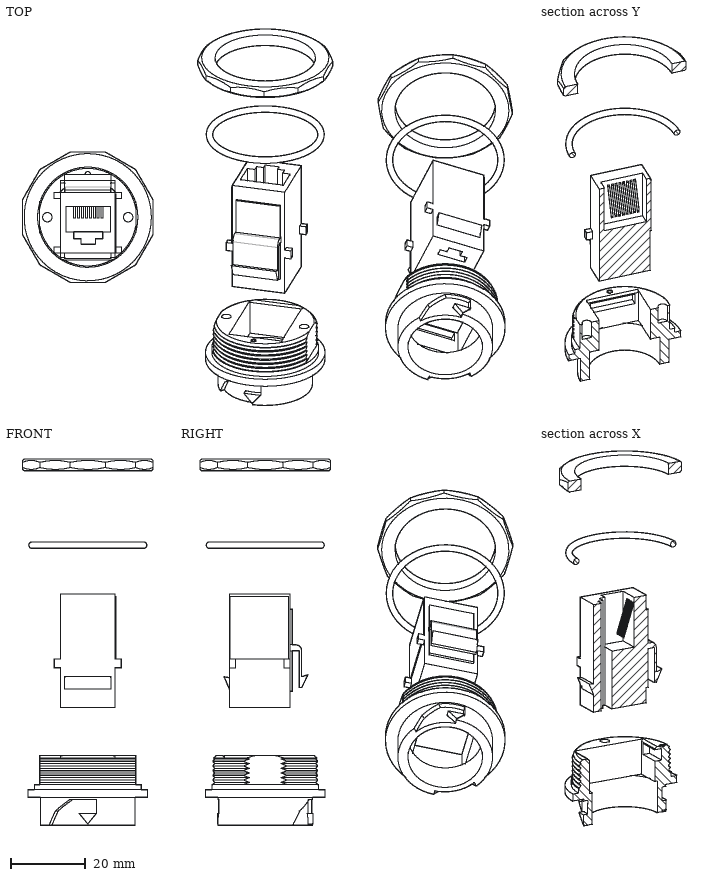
import cadquery as cq
import math


total_height = 97.94
nut_sides = 12
nut_across_flats = 34.92
nut_thickness = 3.2
nut_bore_radius = 13.4
nut_face_radius = 17.0
nut_chamfer_angle = 40

ring_outer_radius = 15.8
ring_section_radius = 0.89
ring_center_z = 74.9

barrel_radius = 12.65
flange_radius = 16.0
flange_bottom = 7.5
flange_top = 9.6
collar_radius = 14.3
collar_top = 10.9
housing_top = 18.75

thread_radius = 14.05
thread_pitch = 1.25
thread_depth = 0.5
thread_crest = 0.1
thread_end_chamfer = 1.0
thread_flat_distance = 12.86

cavity_half_width = 7.3
cavity_back = 9.2
cavity_front = -10.8
cavity_floor = 8.9
cavity_lead_in = 0.6
throat_radius = 9.95

latch_pocket_half_width = 6.3
latch_pocket_back = 11.2
latch_pocket_floor = 14.7
latch_pocket_top = 17.8

screw_hole_x = 10.8
screw_hole_radius = 1.25
screw_hole_depth = 5.0
marker_y = 11.5
marker_radius = 0.7
marker_depth = 0.3

track_floor_radius = 11.45
track_top = 6.95
track_knee_z = 3.9
track_top_angle = 22
track_knee_angle = 43
track_entry_angle = 55
stop_half_width = 2.3
stop_top = 3.2
stop_tip = 0.4
stop_radius = 12.8
stop_embed = 0.5

jack_half_width = 7.3
jack_back = 6.65
jack_front = -9.6
jack_bottom = 31.5
jack_top = 61.9

lug_reach = 9.0
lug_depth = 1.6
lug_bottom = 42.1
lug_top = 44.5

rear_plate_half_width = 6.1
rear_plate_thickness = 0.6
rear_plate_bottom = 35.8
rear_plate_top = 57.8

side_plate_thickness = 0.28
side_plate_bottom = lug_top
side_plate_top = 61.2
side_plate_back = 6.2
side_plate_front = -9.4

latch_half_width = 6.2
latch_top = 48.3
latch_bend_radius = 1.65
latch_outer = 9.75
latch_thickness = 0.7
latch_tip_z = 36.8
latch_barb_y = 11.45
latch_barb_z = 40.3
latch_barb_root_z = 39.8

ledge_half_width = 6.15
ledge_bottom = 36.4
ledge_root_z = 39.5
ledge_tip_z = 39.8
ledge_reach = 1.45

socket_center_x = 0.15
socket_half_width = 5.95
socket_back = 2.8
socket_front = -3.95
socket_depth = 14.0
key_half_width = 3.85
key_front = -5.7
clip_half_width = 1.9
clip_front = -7.2

contact_count = 8
contact_pitch = 1.06
contact_width = 0.53
contact_thickness = 0.5
contact_drop = 9.0
contact_reach = 3.0
contact_recess = 1.5
contact_top = jack_top - contact_recess


def box(x_min, x_max, y_min, y_max, z_min, z_max):
    """Axis-aligned block between the given limits."""
    return (
        cq.Workplane("XY")
        .box(x_max - x_min, y_max - y_min, z_max - z_min, centered=False)
        .translate((x_min, y_min, z_min))
    )


def cylinder(radius, z_min, z_max):
    """Upright cylinder on the Z axis."""
    return cq.Workplane("XY").workplane(offset=z_min).circle(radius).extrude(z_max - z_min)


def yz_prism(points, half_width):
    """Prism along X, centred on X = 0, from (y, z) points."""
    return cq.Workplane("YZ").polyline(points).close().extrude(half_width, both=True)


def lock_nut():
    """Twelve-sided ring with its corners turned off at both faces."""
    corner_radius = nut_across_flats / 2 / math.cos(math.pi / nut_sides)
    corner_drop = (corner_radius - nut_face_radius) * math.tan(math.radians(nut_chamfer_angle))
    nut = (
        cq.Workplane("XY")
        .polygon(nut_sides, 2 * corner_radius)
        .extrude(nut_thickness)
        .rotate((0, 0, 0), (0, 0, 1), 180 / nut_sides)
    )
    turned_blank = (
        cq.Workplane("XZ")
        .moveTo(nut_bore_radius, 0)
        .lineTo(nut_face_radius, 0)
        .lineTo(corner_radius, corner_drop)
        .lineTo(corner_radius, nut_thickness - corner_drop)
        .lineTo(nut_face_radius, nut_thickness)
        .lineTo(nut_bore_radius, nut_thickness)
        .close()
        .revolve(360, (0, 0, 0), (0, 1, 0))
    )
    return nut.intersect(turned_blank).translate((0, 0, total_height - nut_thickness))


def o_ring():
    """Plain round-section ring."""
    center_radius = ring_outer_radius - ring_section_radius
    ring = cq.Solid.makeTorus(center_radius, ring_section_radius)
    return cq.Workplane(ring).translate((0, 0, ring_center_z))


def threaded_sleeve():
    """Upper sleeve with ring-shaped thread ridges, an end chamfer and a flat on each side."""
    root_radius = thread_radius - thread_depth
    sleeve = cylinder(thread_radius, collar_top, housing_top)
    sleeve = sleeve.faces(">Z").chamfer(thread_end_chamfer)
    groove_count = int((housing_top - collar_top) / thread_pitch)
    groove_half_height = (thread_pitch - thread_crest) / 2
    for index in range(groove_count):
        groove_z = collar_top + (index + 0.5) * thread_pitch
        groove = (
            cq.Workplane("XZ")
            .moveTo(root_radius, groove_z)
            .lineTo(thread_radius, groove_z - groove_half_height)
            .lineTo(thread_radius, groove_z + groove_half_height)
            .close()
            .revolve(360, (0, 0, 0), (0, 1, 0))
        )
        sleeve = sleeve.cut(groove)
    flats = box(-thread_flat_distance, thread_flat_distance,
                -thread_radius, thread_radius, collar_top, housing_top)
    return sleeve.intersect(flats)


def housing_cavity():
    """Rectangular well with sloped lead-ins at both ends, opening into a round throat."""
    lead_in_bottom = housing_top - cavity_lead_in
    well = yz_prism(
        [
            (cavity_front, cavity_floor),
            (cavity_back, cavity_floor),
            (cavity_back, lead_in_bottom),
            (cavity_back + cavity_lead_in, housing_top),
            (cavity_front - cavity_lead_in, housing_top),
            (cavity_front, lead_in_bottom),
        ],
        cavity_half_width,
    )
    throat = cylinder(throat_radius, 0, cavity_floor)
    latch_pocket = box(-latch_pocket_half_width, latch_pocket_half_width,
                       cavity_back - cavity_lead_in, latch_pocket_back,
                       latch_pocket_floor, latch_pocket_top)
    return well.union(throat).union(latch_pocket)


def bayonet_track():
    """Track cut into the -Y side of the barrel: a sloping entry wall and a closed end."""
    ring = cylinder(stop_radius, 0, track_top).cut(cylinder(track_floor_radius, 0, track_top))

    mid_angle = (track_top_angle + track_entry_angle) / 2

    def across(angle):
        """Distance from the mid direction to a point on the barrel at the given angle."""
        return barrel_radius * math.sin(math.radians(mid_angle - angle))

    far_side = 2 * barrel_radius
    entry = (
        cq.Workplane("XZ")
        .moveTo(far_side, 0)
        .lineTo(across(track_entry_angle), 0)
        .lineTo(across(track_knee_angle), track_knee_z)
        .lineTo(across(track_top_angle), track_top)
        .lineTo(far_side, track_top)
        .close()
        .extrude(far_side)
        .rotate((0, 0, 0), (0, 0, 1), -mid_angle)
    )
    end = (
        cq.Workplane("XZ")
        .moveTo(-far_side, 0)
        .lineTo(0, 0)
        .lineTo(0, stop_tip)
        .lineTo(stop_half_width, stop_top)
        .lineTo(stop_half_width, track_top)
        .lineTo(-far_side, track_top)
        .close()
        .extrude(far_side)
    )
    return ring.intersect(entry).intersect(end)


def bayonet_stop():
    """Downward-pointing arrow at the closed end of the track, rooted below the track floor."""
    inner_radius = track_floor_radius - stop_embed
    return (
        cq.Workplane("XZ", origin=(0, -inner_radius, 0))
        .moveTo(0, stop_tip)
        .lineTo(stop_half_width, stop_top)
        .lineTo(-stop_half_width, stop_top)
        .close()
        .extrude(stop_radius - inner_radius)
    )


def housing():
    """Flanged barrel below, threaded sleeve above, with the jack well through the middle."""
    body = cylinder(barrel_radius, 0, flange_bottom)
    body = body.union(cylinder(flange_radius, flange_bottom, flange_top))
    body = body.union(cylinder(collar_radius, flange_top, collar_top))
    body = body.union(threaded_sleeve())
    body = body.cut(housing_cavity())
    for turn in (0, 180):
        body = body.cut(bayonet_track().rotate((0, 0, 0), (0, 0, 1), turn))
        body = body.union(bayonet_stop().rotate((0, 0, 0), (0, 0, 1), turn))
    for x in (-screw_hole_x, screw_hole_x):
        hole = cylinder(screw_hole_radius, housing_top - screw_hole_depth, housing_top)
        body = body.cut(hole.translate((x, 0, 0)))
    marker = cylinder(marker_radius, housing_top - marker_depth, housing_top)
    return body.cut(marker.translate((0, marker_y, 0)))


def jack_latch():
    """Spring latch: an arm bent down from the rear plate, ending in a barb."""
    arm_inner = latch_outer - latch_thickness
    bend_start_y = latch_outer - latch_bend_radius
    bend_end_z = latch_top - latch_bend_radius
    bend_offset = latch_bend_radius / math.sqrt(2)
    return (
        cq.Workplane("YZ")
        .moveTo(jack_back, latch_top)
        .lineTo(bend_start_y, latch_top)
        .threePointArc((bend_start_y + bend_offset, bend_end_z + bend_offset),
                       (latch_outer, bend_end_z))
        .lineTo(latch_outer, latch_barb_root_z)
        .lineTo(latch_barb_y, latch_barb_z)
        .lineTo(latch_outer, latch_tip_z)
        .lineTo(arm_inner, latch_tip_z)
        .lineTo(arm_inner, bend_end_z)
        .lineTo(jack_back, bend_end_z)
        .close()
        .extrude(latch_half_width, both=True)
    )


def socket_cutout():
    """Plug socket from the top; the stepped key slot below it runs right through."""
    center = socket_center_x
    plug = box(center - socket_half_width, center + socket_half_width,
               socket_front, socket_back, jack_top - socket_depth, jack_top)
    key = box(center - key_half_width, center + key_half_width,
              key_front, socket_front, jack_bottom, jack_top)
    clip = box(center - clip_half_width, center + clip_half_width,
               clip_front, key_front, jack_bottom, jack_top)
    return plug.union(key).union(clip)


def contacts():
    """Row of sloping contact blades on the back wall of the socket."""
    foot_z = contact_top - contact_drop
    blade = (
        cq.Workplane("YZ")
        .moveTo(socket_back, contact_top)
        .lineTo(socket_back - contact_reach, foot_z)
        .lineTo(socket_back - contact_reach, foot_z - contact_thickness)
        .lineTo(socket_back, contact_top - contact_thickness)
        .close()
        .extrude(contact_width / 2, both=True)
    )
    first_x = socket_center_x - contact_pitch * (contact_count - 1) / 2
    return [blade.translate((first_x + i * contact_pitch, 0, 0)) for i in range(contact_count)]


def jack():
    """Keystone block with its locating lugs, plates, latch, ledge, socket and contacts."""
    body = box(-jack_half_width, jack_half_width, jack_front, jack_back, jack_bottom, jack_top)
    for y in (jack_front, jack_back - lug_depth):
        body = body.union(box(-lug_reach, lug_reach, y, y + lug_depth, lug_bottom, lug_top))
    body = body.union(box(-rear_plate_half_width, rear_plate_half_width,
                          jack_back, jack_back + rear_plate_thickness,
                          rear_plate_bottom, rear_plate_top))
    body = body.union(box(jack_half_width, jack_half_width + side_plate_thickness,
                          side_plate_front, side_plate_back, side_plate_bottom, side_plate_top))
    body = body.union(jack_latch())
    ledge = yz_prism(
        [
            (jack_front, ledge_bottom),
            (jack_front - ledge_reach, ledge_tip_z),
            (jack_front, ledge_root_z),
        ],
        ledge_half_width,
    )
    body = body.union(ledge).cut(socket_cutout())
    for blade in contacts():
        body = body.union(blade)
    return body


result = cq.Compound.makeCompound([
    lock_nut().val(),
    o_ring().val(),
    jack().val(),
    housing().val(),
])